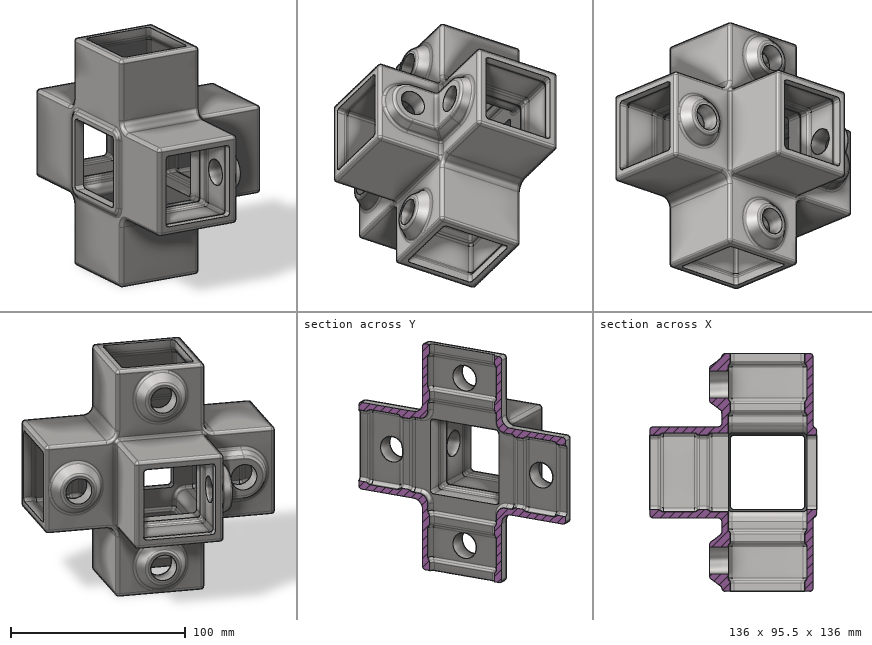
import cadquery as cq
arm_reach = 68.0
back_arm_reach = 67.3
tube_width = 52.4
tube_half = tube_width / 2
edge_round = 2.0
crotch_round = 5.7

rim_reach = 28.2
rim_height = rim_reach - tube_half
rim_foot_half = 27.2
rim_top_half = 23.8
rim_top_corner = 3.5

bore_half = 21.2
relief_half = 22.5
step_length = 3.0
mouth_land = 4.8
inner_land_start = 28.5
inner_land_end = 32.6

boss_height = 7.1
cone_boss_base = 15.4
cone_boss_top = 10.0
slot_boss_base = 15.2
slot_boss_top = 12.4
screw_hole_radius = 7.6
cone_boss_distance = 50.3
slot_boss_distance = 47.6
back_boss_distance = 49.2
slot_boss_end = 19.0

tolerance = 0.01


def cross(half, reach):
    """Square cross in the XZ plane with filleted crotches; also its long edges and mouth edges."""
    bar = cq.Workplane("XY").box(2 * reach, 2 * half, 2 * half)
    post = cq.Workplane("XY").box(2 * half, 2 * half, 2 * reach)
    near_hub = half + tolerance
    hub = cq.selectors.BoxSelector((-near_hub,) * 3, (near_hub,) * 3)
    body = bar.union(post).edges("|Y").edges(hub).fillet(crotch_round)
    outline = body.faces("<Y or >Y").edges().vals()
    mouths = body.faces("<X or >X or <Z or >Z").edges().vals()
    long_edges = [edge for edge in outline if not any(edge.isSame(mouth) for mouth in mouths)]
    return body, long_edges, mouths


def outer_cross():
    """The four arms of the cross, rounded along their length and at their mouths."""
    body, long_edges, mouths = cross(tube_half, arm_reach)
    return body.newObject(long_edges + mouths).fillet(edge_round)


def back_arm():
    """The +Y arm, rounded along its length and at its mouth."""
    arm = cq.Workplane("XZ").rect(2 * tube_half, 2 * tube_half).extrude(-back_arm_reach)
    arm = arm.edges("|Y").fillet(edge_round)
    return arm.faces(">Y").edges().fillet(edge_round)


def rim():
    """Raised rim whose side is a concave arc flowing into a convex arc."""
    face = -tube_half
    top = face - rim_height
    middle_half = (rim_foot_half + rim_top_half) / 2
    core = (
        cq.Workplane("XZ", origin=(0, face, 0))
        .rect(2 * rim_top_half, 2 * rim_top_half)
        .extrude(rim_height)
        .edges("|Y").fillet(rim_top_corner)
    )
    side_section = (
        cq.Workplane("XY")
        .moveTo(bore_half, top)
        .lineTo(rim_top_half, top)
        .tangentArcPoint((middle_half, face - rim_height / 2), relative=False)
        .tangentArcPoint((rim_foot_half, face), relative=False)
        .lineTo(bore_half, face)
        .close()
    )
    corner = rim_top_corner
    straight = rim_top_half - corner
    path = (
        cq.Workplane("XZ", origin=(0, top, 0))
        .moveTo(rim_top_half, 0)
        .lineTo(rim_top_half, straight)
        .tangentArcPoint((-corner, corner))
        .lineTo(-straight, rim_top_half)
        .tangentArcPoint((-corner, -corner))
        .lineTo(-rim_top_half, -straight)
        .tangentArcPoint((corner, -corner))
        .lineTo(straight, -rim_top_half)
        .tangentArcPoint((corner, corner))
        .close()
    )
    return core.union(side_section.sweep(path))


def bore_profile(plane, reach):
    """Slab with the stepped bore section, running from the hub centre to the mouth."""
    half_step = step_length / 2
    mid_half = (bore_half + relief_half) / 2
    steps = (
        (reach - inner_land_end - step_length, relief_half, bore_half),
        (reach - inner_land_start, bore_half, relief_half),
        (reach - mouth_land - step_length, relief_half, bore_half),
    )
    upper = cq.Workplane(plane).lineTo(0, relief_half)
    for start, before, after in steps:
        upper = (
            upper.lineTo(start, before)
            .tangentArcPoint((start + half_step, mid_half), relative=False)
            .tangentArcPoint((start + step_length, after), relative=False)
        )
    upper = upper.lineTo(reach, bore_half).lineTo(reach, 0).close()
    upper = upper.extrude(relief_half, both=True)
    return upper.union(upper.rotate((0, 0, 0), (1, 0, 0), 180))


def arm_bore(reach):
    """Square bore along +X with all four walls stepped and its corners rounded."""
    bore = bore_profile("XY", reach).intersect(bore_profile("XZ", reach))
    corners = [
        edge for edge in bore.edges().vals()
        if abs(abs(edge.Center().y) - abs(edge.Center().z)) < tolerance < abs(edge.Center().y)
    ]
    return bore.newObject(corners).fillet(edge_round)


def cavity():
    """Bores of the five arms, the hub they meet in, and the plain opening on -Y."""
    hub_reach = arm_reach - inner_land_end - step_length
    body, long_edges, _ = cross(relief_half, hub_reach)
    hollow = body.newObject(long_edges).fillet(edge_round)
    cross_bore = arm_bore(arm_reach)
    for turn in range(4):
        hollow = hollow.union(cross_bore.rotate((0, 0, 0), (0, 1, 0), 90 * turn))
    hollow = hollow.union(arm_bore(back_arm_reach).rotate((0, 0, 0), (0, 0, 1), 90))
    opening = (
        cq.Workplane("XZ")
        .rect(2 * bore_half, 2 * bore_half)
        .extrude(tube_half + rim_height)
        .edges("|Y").fillet(edge_round)
    )
    return hollow.union(opening)


def boss_cone(base_radius, top_radius):
    """Sharp-edged cone frustum of the common boss height, standing on the XY plane."""
    return cq.Workplane(cq.Solid.makeCone(base_radius, top_radius, boss_height))


def cone_boss():
    """Round boss standing on the XY plane at the origin."""
    boss = boss_cone(cone_boss_base, cone_boss_top)
    return boss.faces(">Z").edges().fillet(edge_round)


def slot_boss(length):
    """Boss on the XY plane, round about the origin and running `length` along +X."""
    ridge = (
        cq.Workplane("YZ")
        .moveTo(-slot_boss_base, 0)
        .lineTo(-slot_boss_top, boss_height)
        .lineTo(slot_boss_top, boss_height)
        .lineTo(slot_boss_base, 0)
        .close()
        .extrude(length)
    )
    boss = boss_cone(slot_boss_base, slot_boss_top).union(ridge)
    return boss.faces(">Z").edges().fillet(edge_round)


def on_back_face(shape, x, z):
    """Moves a shape from the XY plane to the +Y face of the cross at (x, z)."""
    return shape.rotate((0, 0, 0), (1, 0, 0), -90).translate((x, tube_half, z))


def on_back_arm(shape):
    """Moves a shape from the XY plane to the -X face of the +Y arm, its +X pointing to -Y."""
    upright = shape.rotate((0, 0, 0), (0, 0, 1), -90).rotate((0, 0, 0), (0, 1, 0), -90)
    return upright.translate((-tube_half, back_boss_distance, 0))


def join_with_fillets(parts):
    """Unites the parts and fillets every edge along which two of them meet."""
    body = parts[0]
    for part in parts[1:]:
        body = body.union(part)
    skins = [part.val().Shells()[0] for part in parts]

    def is_joint(edge):
        middle = cq.Vertex.makeVertex(*edge.positionAt(0.5).toTuple())
        return sum(middle.distance(skin) < tolerance for skin in skins) > 1

    joints = [edge for edge in body.edges().vals() if is_joint(edge)]
    return body.newObject(joints).fillet(edge_round)


def screw_holes():
    """One hole under each boss, from the bore out through the boss."""
    drill = (
        cq.Workplane("XY", origin=(0, 0, bore_half - tube_half))
        .circle(screw_hole_radius)
        .extrude(tube_half - bore_half + boss_height)
    )
    holes = on_back_arm(drill)
    for x, z in cone_boss_places + [slot_boss_place]:
        holes = holes.union(on_back_face(drill, x, z))
    return holes


cone_boss_places = [
    (cone_boss_distance, 0),
    (0, cone_boss_distance),
    (0, -cone_boss_distance),
]
slot_boss_place = (-slot_boss_distance, 0)

parts = [outer_cross(), back_arm()]
parts += [on_back_face(cone_boss(), x, z) for x, z in cone_boss_places]
parts.append(on_back_face(slot_boss(slot_boss_distance - slot_boss_end), *slot_boss_place))
parts.append(on_back_arm(slot_boss(back_boss_distance - slot_boss_end)))

result = join_with_fillets(parts).union(rim()).cut(cavity()).cut(screw_holes())